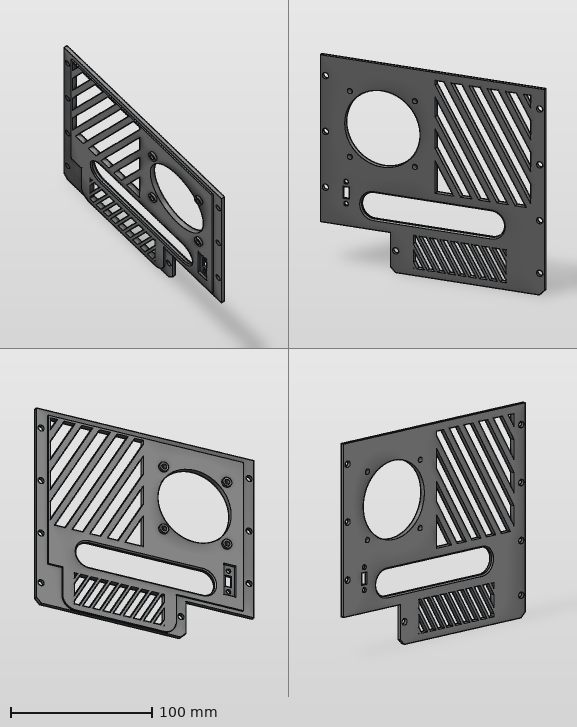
import cadquery as cq
import math

plate_width = 172.5
plate_height = 156.8
plate_thickness = 2.8
tongue_width = 118.7
shoulder_height = 29.9
corner_chamfer = 4.0

panel_rise = 1.2
panel_side_margin = 9.0
panel_top_margin = 4.3
panel_shoulder_height = 32.8
panel_tongue_left = 20.4
panel_tongue_right = 110.5
panel_tongue_bottom = 0.5
panel_tongue_radius = 10.0
front_depth = plate_thickness + panel_rise

mount_hole_diameter = 4.7
mount_hole_inset = 3.8
mount_hole_top_margin = 15.4
mount_hole_pitch = 42.5
mount_holes_per_side = 3
tongue_hole_inset = 4.0
tongue_hole_height = 16.5

fan_x = 125.0
fan_z = 107.7
fan_diameter = 58.0
standoff_spacing = 50.0
standoff_diameter = 7.0
standoff_hole_diameter = 3.8
overall_depth = 5.9

handle_length = 110.1
handle_height = 20.0
handle_z = 48.0
handle_chamfer = 1.0
chamfer_angle = 45

recess_x = 152.9
recess_z = 54.9
recess_width = 9.7
recess_height = 25.2
recess_depth = 2.0
window_width = 4.8
window_height = 9.0
connector_hole_diameter = 3.5
connector_hole_spacing = 16.7

bar_angle = math.radians(60)

vent_left, vent_right = 10.7, 84.2
vent_bottom, vent_top = 65.0, 150.8
vent_first_bar = 16.2
vent_bar_width = 5.5
vent_bar_pitch = 14.0
vent_bar_count = 8

small_vent_left, small_vent_right = 29.7, 101.0
small_vent_bottom, small_vent_top = 5.3, 30.4
small_vent_first_bar = 32.3
small_vent_bar_width = 2.6
small_vent_last_bar = 112.7
small_vent_bar_count = 11
small_vent_bar_span = small_vent_last_bar - small_vent_first_bar
small_vent_bar_pitch = small_vent_bar_span / (small_vent_bar_count - 1)


def face_at(depth):
    """Workplane parallel to the plate, the given distance in front of its back face."""
    return cq.Workplane("XZ", origin=(0, -depth, 0))


def block(left, right, bottom, top):
    """Rectangular block as deep as the plate and panel together."""
    size = (right - left, top - bottom)
    center = ((left + right) / 2, (bottom + top) / 2)
    return face_at(0).center(*center).rect(*size).extrude(front_depth)


def round_holes(points, diameter):
    """Round cutters through the whole depth."""
    return face_at(0).pushPoints(points).circle(diameter / 2).extrude(overall_depth)


def base_plate():
    outline = [
        (0, 0),
        (tongue_width, 0),
        (tongue_width, shoulder_height),
        (plate_width, shoulder_height),
        (plate_width, plate_height),
        (0, plate_height),
    ]
    plate = face_at(0).polyline(outline).close().extrude(plate_thickness)
    return plate.edges("|Y").edges("<Z").chamfer(corner_chamfer)


def raised_panel():
    left = panel_side_margin
    right = plate_width - panel_side_margin
    top = plate_height - panel_top_margin
    outline = [
        (panel_tongue_left, panel_tongue_bottom),
        (panel_tongue_right, panel_tongue_bottom),
        (panel_tongue_right, panel_shoulder_height),
        (right, panel_shoulder_height),
        (right, top),
        (left, top),
        (left, panel_shoulder_height),
        (panel_tongue_left, panel_shoulder_height),
    ]
    panel = face_at(plate_thickness).polyline(outline).close().extrude(panel_rise)
    return panel.edges("|Y").edges("<Z").fillet(panel_tongue_radius)


def mount_hole_points():
    points = [
        (inset_x, plate_height - mount_hole_top_margin - row * mount_hole_pitch)
        for inset_x in (mount_hole_inset, plate_width - mount_hole_inset)
        for row in range(mount_holes_per_side)
    ]
    points.append((mount_hole_inset, tongue_hole_height))
    points.append((tongue_width - tongue_hole_inset, tongue_hole_height))
    return points


def standoff_points():
    half = standoff_spacing / 2
    return [(fan_x + dx, fan_z + dz) for dx in (-half, half) for dz in (-half, half)]


def standoffs():
    height = overall_depth - plate_thickness
    pins = face_at(plate_thickness).pushPoints(standoff_points())
    return pins.circle(standoff_diameter / 2).extrude(height)


def handle_opening():
    """Round-ended opening that widens at both faces through chamfers."""
    middle = (plate_width / 2, handle_z)
    flared_length = handle_length + 2 * handle_chamfer
    flared_height = handle_height + 2 * handle_chamfer
    opening = face_at(0).center(*middle).slot2D(handle_length, handle_height).extrude(front_depth)
    for face_depth, inward in ((0, 1), (front_depth, -1)):
        flare = (
            face_at(face_depth)
            .center(*middle)
            .slot2D(flared_length, flared_height)
            .extrude(inward * handle_chamfer, taper=chamfer_angle)
        )
        opening = opening.union(flare)
    return opening


def connector_cutout():
    floor = front_depth - recess_depth
    middle = (recess_x, recess_z)
    recess = face_at(floor).center(*middle).rect(recess_width, recess_height).extrude(recess_depth)
    window = face_at(0).center(*middle).rect(window_width, window_height).extrude(front_depth)
    half = connector_hole_spacing / 2
    screw_points = [(recess_x, recess_z - half), (recess_x, recess_z + half)]
    return recess.union(window).union(round_holes(screw_points, connector_hole_diameter))


def grille_openings(left, right, bottom, top, first_bar, bar_width, bar_pitch, bar_count):
    """Gaps between slanted bars; first_bar is where the first bar's left side meets the top."""
    openings = block(left, right, bottom, top)
    slant = (top - bottom) / math.tan(bar_angle)
    for index in range(bar_count):
        bar_left = first_bar + index * bar_pitch
        bar_right = bar_left + bar_width
        outline = [
            (bar_left - slant, bottom),
            (bar_right - slant, bottom),
            (bar_right, top),
            (bar_left, top),
        ]
        openings = openings.cut(face_at(0).polyline(outline).close().extrude(front_depth))
    return openings


vent = grille_openings(
    vent_left, vent_right, vent_bottom, vent_top,
    vent_first_bar, vent_bar_width, vent_bar_pitch, vent_bar_count,
)
small_vent = grille_openings(
    small_vent_left, small_vent_right, small_vent_bottom, small_vent_top,
    small_vent_first_bar, small_vent_bar_width, small_vent_bar_pitch, small_vent_bar_count,
)

result = (
    base_plate()
    .union(raised_panel())
    .union(standoffs())
    .cut(round_holes(mount_hole_points(), mount_hole_diameter))
    .cut(round_holes([(fan_x, fan_z)], fan_diameter))
    .cut(round_holes(standoff_points(), standoff_hole_diameter))
    .cut(handle_opening())
    .cut(connector_cutout())
    .cut(vent)
    .cut(small_vent)
)